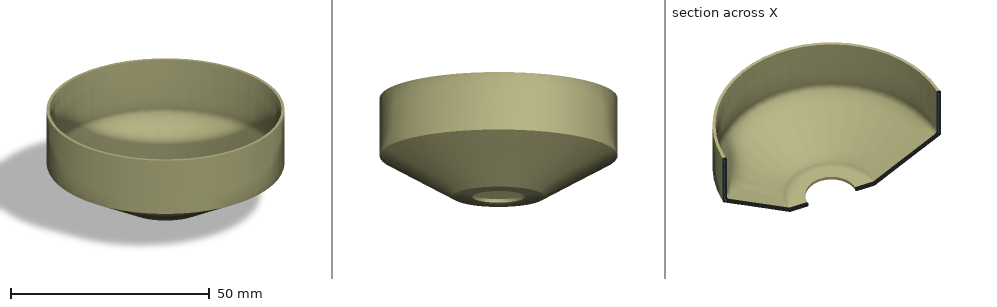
import cadquery as cq
import math

outer_radius = 29.95
total_height = 25.4
base_radius = 11.6
cone_angle = 30.0
hole_diameter = 13.25

wall_thickness = 0.8
floor_thickness = 0.9
inner_floor_radius = base_radius
corner_radius = 1.5

slope = math.tan(math.radians(cone_angle))
inner_radius = outer_radius - wall_thickness
cone_top = (outer_radius - base_radius) * slope
inner_cone_top = floor_thickness + (inner_radius - inner_floor_radius) * slope


def revolved_bowl(floor_z, floor_radius, cone_top_z, wall_radius):
    """Solid with a flat floor, a conical flank and a cylindrical wall up to the rim."""
    return (
        cq.Workplane("XZ")
        .moveTo(0, floor_z)
        .lineTo(floor_radius, floor_z)
        .lineTo(wall_radius, cone_top_z)
        .lineTo(wall_radius, total_height)
        .lineTo(0, total_height)
        .close()
        .revolve(360, (0, 0, 0), (0, 1, 0))
    )


body = revolved_bowl(0, base_radius, cone_top, outer_radius)

widest_circles = cq.selectors.RadiusNthSelector(-1)
cavity = revolved_bowl(floor_thickness, inner_floor_radius, inner_cone_top, inner_radius)
cavity = cavity.edges("%CIRCLE").edges(widest_circles).edges("<Z").fillet(corner_radius)

hole = cq.Workplane("XY").circle(hole_diameter / 2).extrude(total_height)

result = body.cut(cavity).cut(hole)